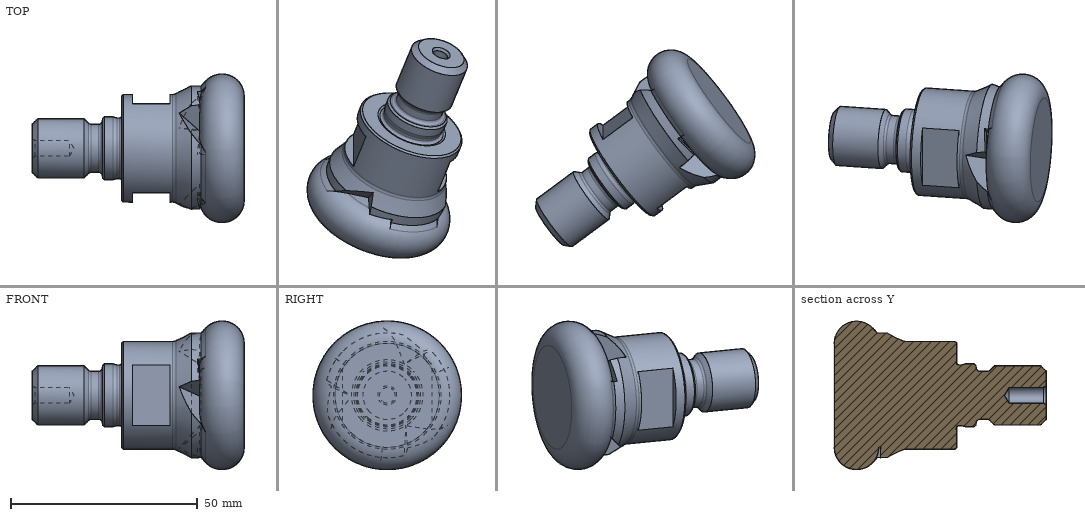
import cadquery as cq
import math


tip_chamfer = 1.5
stem_radius = 8.0
stem_end_x = 13.92
flank_angle = 45.0
neck_radius = 6.5
neck_fillet = 1.0
neck_end_x = 18.83
lip_radius = 8.5
lip_chamfer = 0.55
lip_taper_start_x = 21.66
lip_taper_length = 1.1

undercut_radius = 8.2
undercut_arc = 0.8
undercut_depth = 0.2
undercut_rim_radius = 9.6

shoulder_x = 24.0
body_radius = 14.5
body_chamfer = 0.5
cone_start_x = 38.17
cone_blend_radius = 2.0
cap_start_x = 42.76
cap_radius = 16.8
cap_end_x = 45.38
ledge_end_x = 46.6

flat_start_x = 27.0
flat_end_x = 37.0
flat_half_width = 12.0

knob_end_x = 57.0
knob_rim_radius = 6.0
knob_outer_radius = 20.0
knob_center_x = knob_end_x - knob_rim_radius
knob_ring_radius = knob_outer_radius - knob_rim_radius
knob_start_x = knob_center_x - knob_rim_radius
ledge_angle = 180 - math.degrees(math.acos((knob_center_x - ledge_end_x) / knob_rim_radius))

hole_radius = 2.1
hole_mouth_radius = 2.55
hole_mouth_angle = 60.0
hole_depth = 10.0
drill_point_angle = 118.0

notch_count = 3
notch_apex = cq.Vector(39.5, -15.0, 2.3)
notch_root = cq.Vector(44.2, -10.34, 0.15)
notch_steep_corner = cq.Vector(45.08, -16.3, 4.1)
notch_shallow_corner = cq.Vector(45.4, -14.95, -7.66)
notch_side_length = 30.0
notch_run_out = 10.0
relief_start_x = 44.4
relief_end_x = 45.3
relief_width = 8.0
relief_angle = 35.5


def arc_point(center_x, center_r, radius, angle):
    """Point on an arc of the half profile, at an angle in degrees from +X."""
    a = math.radians(angle)
    return (center_x + radius * math.cos(a), center_r + radius * math.sin(a))


def rim_point(angle):
    """Point on the rounded knob rim, at an angle in degrees from +X."""
    return arc_point(knob_center_x, knob_ring_radius, knob_rim_radius, angle)


def revolve_profile(profile):
    return profile.close().revolve(360, (0, 0, 0), (1, 0, 0))


def make_shaft_and_cap():
    """Stem, neck, lip, undercut, body, cone and cap as one turned solid."""
    floor_angle = 270.0

    flank_angle_rad = math.radians(flank_angle)
    flank_length = (stem_radius - neck_radius) / math.tan(flank_angle_rad)
    flank_foot_x = stem_end_x + flank_length
    flank_tangent = neck_fillet * math.tan(flank_angle_rad / 2)
    flank_run = flank_tangent * math.cos(flank_angle_rad)
    flank_rise = flank_tangent * math.sin(flank_angle_rad)
    neck_start_x = flank_foot_x + flank_tangent
    neck_center_r = neck_radius + neck_fillet
    neck_fillet_x = neck_end_x - neck_fillet

    undercut_floor_x = shoulder_x + undercut_depth
    undercut_center_x = undercut_floor_x - undercut_arc
    undercut_center_r = undercut_radius + undercut_arc

    cone_angle = math.atan2(cap_radius - body_radius, cap_start_x - cone_start_x)
    blend_tangent = cone_blend_radius * math.tan(cone_angle / 2)
    blend_start_x = cone_start_x - blend_tangent
    blend_center_r = body_radius + cone_blend_radius
    blend_mid_angle = floor_angle + math.degrees(cone_angle) / 2
    blend_end = (
        cone_start_x + blend_tangent * math.cos(cone_angle),
        body_radius + blend_tangent * math.sin(cone_angle),
    )

    profile = (
        cq.Workplane("XY")
        .moveTo(0, 0)
        .lineTo(0, stem_radius - tip_chamfer)
        .lineTo(tip_chamfer, stem_radius)
        .lineTo(stem_end_x, stem_radius)
        .lineTo(flank_foot_x - flank_run, neck_radius + flank_rise)
        .threePointArc(
            arc_point(neck_start_x, neck_center_r, neck_fillet, floor_angle - flank_angle / 2),
            (neck_start_x, neck_radius),
        )
        .lineTo(neck_fillet_x, neck_radius)
        .threePointArc(
            arc_point(neck_fillet_x, neck_center_r, neck_fillet, floor_angle + 45),
            (neck_end_x, neck_center_r),
        )
        .lineTo(neck_end_x, lip_radius - lip_chamfer)
        .lineTo(neck_end_x + lip_chamfer, lip_radius)
        .lineTo(lip_taper_start_x, lip_radius)
        .lineTo(lip_taper_start_x + lip_taper_length, undercut_radius)
        .lineTo(undercut_center_x, undercut_radius)
        .threePointArc(
            arc_point(undercut_center_x, undercut_center_r, undercut_arc, floor_angle + 45),
            (undercut_floor_x, undercut_center_r),
        )
        .lineTo(shoulder_x, undercut_rim_radius)
        .lineTo(shoulder_x, body_radius - body_chamfer)
        .lineTo(shoulder_x + body_chamfer, body_radius)
        .lineTo(blend_start_x, body_radius)
        .threePointArc(
            arc_point(blend_start_x, blend_center_r, cone_blend_radius, blend_mid_angle),
            blend_end,
        )
        .lineTo(cap_start_x, cap_radius)
        .lineTo(cap_end_x, cap_radius)
        .lineTo(*rim_point(ledge_angle))
        .lineTo(ledge_end_x, 0)
    )
    return revolve_profile(profile)


def make_knob():
    """Solid disc with a full-round rim, split where the cap ledge meets it."""
    profile = (
        cq.Workplane("XY")
        .moveTo(knob_start_x, 0)
        .lineTo(knob_start_x, knob_ring_radius)
        .threePointArc(rim_point((180 + ledge_angle) / 2), rim_point(ledge_angle))
        .threePointArc(rim_point(ledge_angle / 2), (knob_end_x, knob_ring_radius))
        .lineTo(knob_end_x, 0)
    )
    return revolve_profile(profile)


def make_flat_cutter():
    """Two blocks that leave a pair of wrench flats facing -Y and +Y."""
    length = flat_end_x - flat_start_x
    mid_x = (flat_start_x + flat_end_x) / 2
    block = cq.Workplane("XY").box(length, body_radius, 2 * body_radius)
    offset = flat_half_width + body_radius / 2
    return block.translate((mid_x, offset, 0)).union(block.translate((mid_x, -offset, 0)))


def make_hole():
    """Blind hole with a conical mouth and a drill point."""
    mouth_depth = (hole_mouth_radius - hole_radius) / math.tan(math.radians(hole_mouth_angle / 2))
    point_length = hole_radius / math.tan(math.radians(drill_point_angle / 2))
    profile = (
        cq.Workplane("XY")
        .moveTo(0, 0)
        .lineTo(0, hole_mouth_radius)
        .lineTo(mouth_depth, hole_radius)
        .lineTo(hole_depth, hole_radius)
        .lineTo(hole_depth + point_length, 0)
    )
    return revolve_profile(profile)


def make_notch_cutter():
    """V-shaped prism along the slanted notch root, opening outwards."""
    root_line = notch_root - notch_apex
    axis = root_line.normalized()

    def side_direction(corner):
        side = corner - notch_apex
        return (side - axis * side.dot(axis)).normalized()

    steep = side_direction(notch_steep_corner)
    shallow = side_direction(notch_shallow_corner)
    section = cq.Plane(origin=notch_apex - axis * notch_run_out, xDir=steep, normal=axis)
    shallow_point = (
        notch_side_length * shallow.dot(section.xDir),
        notch_side_length * shallow.dot(section.yDir),
    )
    return (
        cq.Workplane(section)
        .polyline([(0, 0), (notch_side_length, 0), shallow_point])
        .close()
        .extrude(2 * notch_run_out + root_line.Length)
    )


def make_relief_cutter():
    """Slanted gap between the cap edge and the knob, running from a radial wall down to the notch."""
    return (
        cq.Workplane("XZ")
        .polyline(
            [
                (relief_start_x, 0),
                (relief_end_x, -relief_width),
                (ledge_end_x, -relief_width),
                (ledge_end_x, 0),
            ]
        )
        .close()
        .extrude(knob_outer_radius)
        .rotate((0, 0, 0), (1, 0, 0), -relief_angle)
        .cut(cq.Workplane("YZ").circle(knob_ring_radius).extrude(knob_end_x))
    )


shaft = make_shaft_and_cap().cut(make_flat_cutter()).cut(make_hole())

notch = make_notch_cutter()
relief = make_relief_cutter()
for index in range(notch_count):
    angle = index * 360 / notch_count
    shaft = shaft.cut(notch.rotate((0, 0, 0), (1, 0, 0), angle))
    shaft = shaft.cut(relief.rotate((0, 0, 0), (1, 0, 0), angle))

result = shaft.union(make_knob())